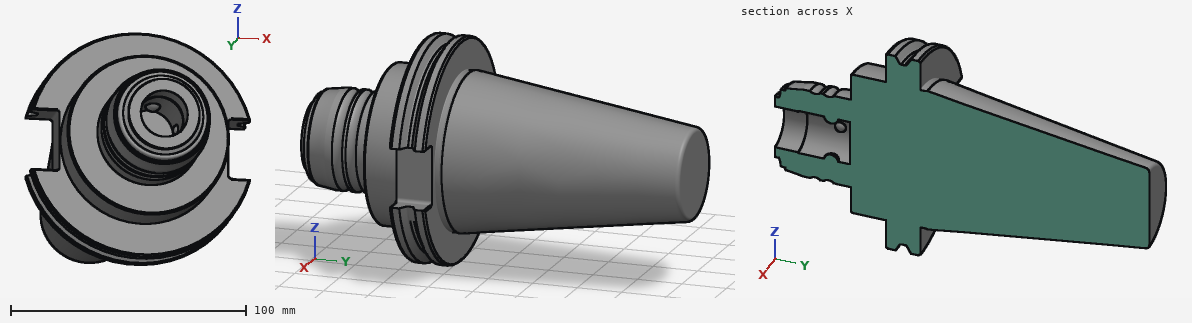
import cadquery as cq
import math

LENGTH = 171.6

PILOT_RADIUS = 15.3
PILOT_LENGTH = 1.7
TIP_FACE_Y = 2.4
TIP_FACE_INNER_RADIUS = 17.3
TIP_FACE_OUTER_RADIUS = 18.5
TIP_ROUND_RADIUS = 0.9
COLLAR_Y = 4.6
COLLAR_RADIUS = 19.5
BARREL_STEP_RADIUS = 20.2
BARREL_START_Y = 5.1
BARREL_START_RADIUS = 20.8
BARREL_MID_Y = 9.1
BARREL_MID_RADIUS = 21.3
BARREL_END_Y = 12.9

NOSE_RADIUS = 22.0
GROOVE_WIDTH = 4.6
GROOVE_DEPTH = 0.9
GROOVE_STARTS = (16.1, 22.3)
NOSE_BASE_RADIUS = 22.1
NOSE_BASE_Y = 28.1

BODY_Y = 34.8
BODY_DIAMETER = 69.8
BODY_RADIUS = BODY_DIAMETER / 2
BODY_CHAMFER = 0.7

FLANGE_Y = 50.8
FLANGE_WIDTH = 16.0
FLANGE_DIAMETER = 98.0
FLANGE_RADIUS = FLANGE_DIAMETER / 2
FLANGE_CHAMFER_LENGTH = 1.0
FLANGE_CHAMFER_DEPTH = 0.7
V_FLOOR_RADIUS = 45.3
V_FLOOR_WIDTH = 2.7
V_CORNER_RADIUS = 0.9
V_HALF_ANGLE = 30.0

NECK_RADIUS = 34.7
NECK_FILLET = 0.3
NECK_END_Y = 69.0
TAPER_START_Y = 70.0
TAPER_RATIO = 7 / 24
END_FILLET = 2.0

SLOT_HALF_WIDTH = 13.0
SLOT_EDGE_CHAMFER = 0.5
DEEP_SLOT_FLOOR = 35.3
DEEP_SLOT_CORNER = 1.0
SHALLOW_SLOT_FLOOR = 37.5
SHALLOW_SLOT_CORNER = 1.5

BORE_RADIUS = 10.1
BORE_LIP_LENGTH = 10.6
BORE_RELIEF_RADIUS = 10.5
BORE_DEPTH = 34.3
BALL_Y = 25.7
LARGE_BALL_RADIUS = 3.5
LARGE_BALL_REACH = 7.7
SMALL_BALL_RADIUS = 2.7
SMALL_BALL_REACH = 8.8

FLANGE_END_Y = FLANGE_Y + FLANGE_WIDTH


def along_y(start, end, radius):
    """Cylinder on the Y axis between two Y positions."""
    return cq.Workplane("XZ", origin=(0, start, 0)).circle(radius).extrude(start - end)


def turned_body():
    """Outer shape, revolved from a half profile of (radius, Y) points."""
    v_center = FLANGE_Y + FLANGE_WIDTH / 2
    v_floor_half = V_FLOOR_WIDTH / 2
    v_rim_half = v_floor_half + (FLANGE_RADIUS - V_FLOOR_RADIUS) * math.tan(math.radians(V_HALF_ANGLE))
    flange_edge_radius = FLANGE_RADIUS - FLANGE_CHAMFER_DEPTH
    taper_slope = TAPER_RATIO / 2
    end_radius = BODY_RADIUS - taper_slope * (LENGTH - TAPER_START_Y)
    round_middle = TIP_ROUND_RADIUS * math.sqrt(0.5)

    profile = (
        cq.Workplane("XY")
        .lineTo(PILOT_RADIUS, 0)
        .lineTo(PILOT_RADIUS, PILOT_LENGTH)
        .lineTo(TIP_FACE_INNER_RADIUS, TIP_FACE_Y)
        .lineTo(TIP_FACE_OUTER_RADIUS, TIP_FACE_Y)
        .threePointArc(
            (TIP_FACE_OUTER_RADIUS + round_middle, TIP_FACE_Y + TIP_ROUND_RADIUS - round_middle),
            (TIP_FACE_OUTER_RADIUS + TIP_ROUND_RADIUS, TIP_FACE_Y + TIP_ROUND_RADIUS),
        )
        .lineTo(COLLAR_RADIUS, COLLAR_Y)
        .lineTo(BARREL_STEP_RADIUS, COLLAR_Y)
        .lineTo(BARREL_START_RADIUS, BARREL_START_Y)
        .threePointArc((BARREL_MID_RADIUS, BARREL_MID_Y), (NOSE_RADIUS, BARREL_END_Y))
    )
    for start in GROOVE_STARTS:
        profile = profile.lineTo(NOSE_RADIUS, start).threePointArc(
            (NOSE_RADIUS - GROOVE_DEPTH, start + GROOVE_WIDTH / 2),
            (NOSE_RADIUS, start + GROOVE_WIDTH),
        )
    profile = (
        profile
        .lineTo(NOSE_BASE_RADIUS, NOSE_BASE_Y)
        .lineTo(NOSE_BASE_RADIUS, BODY_Y)
        .lineTo(BODY_RADIUS - BODY_CHAMFER, BODY_Y)
        .lineTo(BODY_RADIUS, BODY_Y + BODY_CHAMFER)
        .lineTo(BODY_RADIUS, FLANGE_Y)
        .lineTo(flange_edge_radius, FLANGE_Y)
        .lineTo(FLANGE_RADIUS, FLANGE_Y + FLANGE_CHAMFER_LENGTH)
        .lineTo(FLANGE_RADIUS, v_center - v_rim_half)
        .lineTo(V_FLOOR_RADIUS, v_center - v_floor_half)
        .lineTo(V_FLOOR_RADIUS, v_center + v_floor_half)
        .lineTo(FLANGE_RADIUS, v_center + v_rim_half)
        .lineTo(FLANGE_RADIUS, FLANGE_END_Y - FLANGE_CHAMFER_LENGTH)
        .lineTo(flange_edge_radius, FLANGE_END_Y)
        .lineTo(NECK_RADIUS + NECK_FILLET, FLANGE_END_Y)
        .radiusArc((NECK_RADIUS, FLANGE_END_Y + NECK_FILLET), NECK_FILLET)
        .lineTo(NECK_RADIUS, NECK_END_Y)
        .lineTo(BODY_RADIUS, TAPER_START_Y)
        .lineTo(end_radius, LENGTH)
        .lineTo(0, LENGTH)
        .close()
    )
    body = profile.revolve(360, (0, 0, 0), (0, 1, 0))
    floor_edges = cq.selectors.BoxSelector(
        (-FLANGE_RADIUS, v_center - V_FLOOR_WIDTH, -FLANGE_RADIUS),
        (FLANGE_RADIUS, v_center + V_FLOOR_WIDTH, FLANGE_RADIUS),
    )
    body = body.edges("%CIRCLE").edges(floor_edges).fillet(V_CORNER_RADIUS)
    return body.faces(">Y").edges().fillet(END_FILLET)


def driving_slot(side, floor, corner_radius):
    """Cutter for one slot; side is +1 or -1 along X, floor its distance from the axis."""
    depth = FLANGE_RADIUS - floor
    center_x = side * (floor + depth / 2)
    slot = (
        cq.Workplane("XY")
        .box(depth, FLANGE_WIDTH, 2 * SLOT_HALF_WIDTH)
        .edges("|Y and " + ("<X" if side > 0 else ">X"))
        .fillet(corner_radius)
        .translate((center_x, FLANGE_Y + FLANGE_WIDTH / 2, 0))
    )
    mouth_half_width = SLOT_HALF_WIDTH + SLOT_EDGE_CHAMFER
    wall_start = floor + corner_radius
    wall_length = FLANGE_RADIUS - wall_start
    for face_y, inward in ((FLANGE_Y, 1), (FLANGE_END_Y, -1)):
        edge_break = (
            cq.Workplane("YZ", origin=(side * wall_start, 0, 0))
            .moveTo(face_y, -mouth_half_width)
            .lineTo(face_y, mouth_half_width)
            .lineTo(face_y + inward * mouth_half_width, 0)
            .close()
            .extrude(side * wall_length)
        )
        slot = slot.union(edge_break)
    return slot


def bore():
    """Blind bore with a slightly wider stretch behind its lip."""
    lip = along_y(0, BORE_LIP_LENGTH, BORE_RADIUS)
    relief = along_y(BORE_LIP_LENGTH, BORE_DEPTH, BORE_RELIEF_RADIUS)
    return lip.union(relief)


def wall_balls():
    """Balls set in the bore wall: large ones on Z, small ones on X."""
    large_center = LARGE_BALL_REACH + LARGE_BALL_RADIUS
    small_center = SMALL_BALL_REACH + SMALL_BALL_RADIUS
    large = cq.Workplane("XY", origin=(0, BALL_Y, 0)).sphere(LARGE_BALL_RADIUS)
    small = cq.Workplane("XY", origin=(0, BALL_Y, 0)).sphere(SMALL_BALL_RADIUS)
    balls = []
    for side in (-1, 1):
        balls.append(large.translate((0, 0, side * large_center)))
        balls.append(small.translate((side * small_center, 0, 0)))
    return balls


result = turned_body()
result = result.cut(driving_slot(-1, DEEP_SLOT_FLOOR, DEEP_SLOT_CORNER))
result = result.cut(driving_slot(1, SHALLOW_SLOT_FLOOR, SHALLOW_SLOT_CORNER))
result = result.cut(bore())
for ball in wall_balls():
    result = result.union(ball)